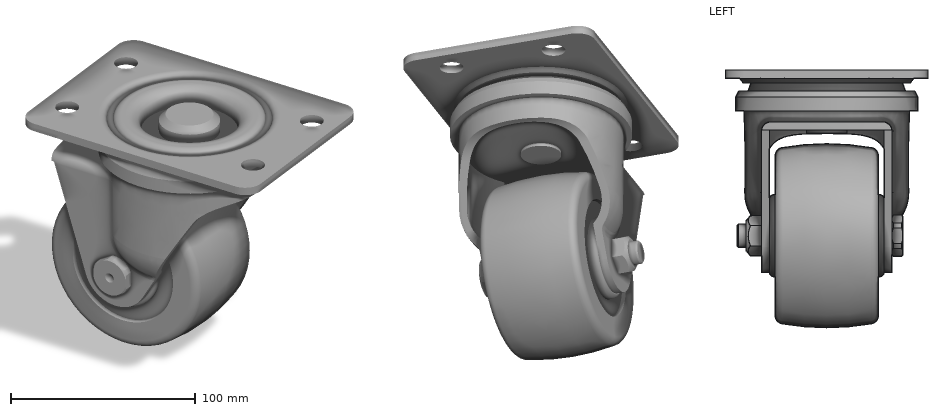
import cadquery as cq
import math


plate_length = 150.0
plate_width = 110.0
plate_thickness = 4.6
plate_corner_radius = 10.0
mount_hole_diameter = 13.0
mount_pitch_x = 120.0
mount_pitch_y = 59.0
groove_top_radius = 49.2
groove_floor_outer = 44.8
groove_floor_inner = 41.6
groove_depth = 2.7
groove_bottom_z = -7.1
groove_underside_radius = 45.4
groove_underside_top_radius = 47.2
bead_outer_radius = 37.2
bead_inner_radius = 34.6
lip_radius = 26.4

crown_top_z = -10.0
neck_bottom_z = -11.4
neck_top_radius = 41.2
neck_bottom_radius = 42.8
neck_inner_radius = 39.0
ring_radius = 49.5
ring_bottom_z = -22.2
ring_chamfer_width = 1.7
ring_chamfer_height = 3.2
kingpin_radius = 16.7
kingpin_chamfer = 3.7
kingpin_tail_radius = 11.0
kingpin_tail_z = -34.2

axle_x = -25.0
axle_z = -90.0

wall = 4.3
leg_inner_y = 31.1
leg_outer_y = leg_inner_y + wall
leg_end_radius = 20.0
tail_top_z = -28.2
tail_bottom_z = tail_top_z - wall
tail_end_x = -70.5
tail_bow = 4.0
tail_edge_radius = 5.0
bulge_radius = 45.0
bulge_draft = 0.4
bulge_round_radius = 23.5
bulge_round_z = -66.5
blend_radius = 4.5
rear_slant = 18.0
front_slant = 30.5
heel_z = -34.6
heel_radius = 19.0
block_front_x = 20.0

wheel_radius = 50.0
wheel_half_width = 28.0
tread_half_width = 24.0
tread_edge_radius = 47.9
face_radius = 43.0
recess_radius = 32.4
recess_floor_radius = 31.8
recess_depth = 2.0
hub_radius = 22.5
hub_end_radius = 20.6

bolt_radius = 6.4
bolt_end_y = 48.6
bolt_end_chamfer = 0.8
head_flats = 20.8
head_round_radius = 11.25
head_height = 6.0
head_chamfer = 0.8
dimple_radius = 2.8
nut_flats = 19.0
nut_height = 8.5
nut_cone_height = 2.5
nut_cone_top_radius = 8.0

SIN60 = math.sin(math.radians(60))
SIN45 = math.sin(math.radians(45))


def cylinder_z(radius, bottom, top):
    return cq.Workplane("XY").workplane(offset=bottom).circle(radius).extrude(top - bottom)


def cylinder_y(radius, y_start, y_end):
    """Cylinder on the axle line."""
    plane = cq.Workplane("XZ", origin=(axle_x, y_start, axle_z))
    return plane.circle(radius).extrude(y_start - y_end)


def hexagon_y(flats, y_start, y_end):
    """Hexagonal prism on the axle line, with corners straight up and down."""
    plane = cq.Workplane("XZ", origin=(axle_x, y_start, axle_z))
    return plane.transformed(rotate=(0, 0, 90)).polygon(6, flats / SIN60).extrude(y_start - y_end)


def revolve_on_axle(profile):
    """Revolve a profile drawn as (radius, y) about the axle line."""
    return profile.close().revolve(360, (0, 0, 0), (0, 1, 0)).translate((axle_x, 0, axle_z))


def bend_radius(run, drop):
    """Radius of an arc that leaves the horizontal and falls by `drop` over `run`."""
    return (run**2 + drop**2) / (2 * drop)


def make_plate():
    rim = (
        cq.Workplane("XY")
        .rect(plate_length, plate_width)
        .extrude(-plate_thickness)
        .edges("|Z")
        .fillet(plate_corner_radius)
        .cut(cylinder_z(groove_top_radius, -plate_thickness, 0))
    )
    outer_bend = bend_radius(groove_top_radius - groove_floor_outer, groove_depth)
    inner_bend = bend_radius(groove_floor_inner - bead_outer_radius, groove_depth)
    bowl_radius = bead_inner_radius - lip_radius
    under_bowl_radius = bowl_radius - plate_thickness
    lip_outer_radius = lip_radius + plate_thickness
    dish = (
        cq.Workplane("XZ")
        .moveTo(groove_top_radius, -plate_thickness)
        .lineTo(groove_top_radius, 0)
        .radiusArc((groove_floor_outer, -groove_depth), -outer_bend)
        .lineTo(groove_floor_inner, -groove_depth)
        .radiusArc((bead_outer_radius, 0), -inner_bend)
        .lineTo(bead_inner_radius, 0)
        .radiusArc((lip_radius, -bowl_radius), -bowl_radius)
        .lineTo(lip_radius, crown_top_z)
        .lineTo(lip_outer_radius, crown_top_z)
        .lineTo(lip_outer_radius, -bowl_radius)
        .radiusArc((bead_inner_radius, -plate_thickness), under_bowl_radius)
        .lineTo(bead_outer_radius, -plate_thickness)
        .lineTo(neck_inner_radius, groove_bottom_z)
        .lineTo(groove_underside_radius, groove_bottom_z)
        .lineTo(groove_underside_top_radius, -plate_thickness)
        .close()
        .revolve(360, (0, 0, 0), (0, 1, 0))
    )
    holes = (
        cq.Workplane("XY")
        .rect(mount_pitch_x, mount_pitch_y, forConstruction=True)
        .vertices()
        .circle(mount_hole_diameter / 2)
        .extrude(-plate_thickness)
    )
    return rim.union(dish).cut(holes)


def round_body(radius, bottom_rounding, top):
    """Upright, slightly tapered round body with a rounded bottom."""
    bottom_radius = radius - bulge_draft
    half_body = (
        cq.Workplane("XZ")
        .moveTo(0, top)
        .lineTo(radius, top)
        .lineTo(bottom_radius, bulge_round_z)
        .radiusArc((bottom_radius - bottom_rounding, bulge_round_z - bottom_rounding), bottom_rounding)
        .lineTo(0, bulge_round_z - bottom_rounding)
        .close()
    )
    return half_body.revolve(360, (0, 0, 0), (0, 1, 0))


def leg_outline():
    """Side outline of the legs, tangent to the round end about the axle."""
    rear = math.radians(rear_slant)
    front = math.radians(front_slant)
    rear_tangent_x = axle_x - leg_end_radius * math.cos(rear)
    rear_tangent_z = axle_z - leg_end_radius * math.sin(rear)
    front_tangent_x = axle_x + leg_end_radius * math.cos(front)
    front_tangent_z = axle_z - leg_end_radius * math.sin(front)
    rear_top_x = rear_tangent_x - (tail_bottom_z - rear_tangent_z) * math.tan(rear)
    heel_end_z = heel_z - heel_radius * (1 - math.sin(front))
    heel_end_x = front_tangent_x + (heel_end_z - front_tangent_z) * math.tan(front)
    heel_start_x = heel_end_x + heel_radius * math.cos(front)
    return (
        cq.Workplane("XZ", origin=(0, bulge_radius, 0))
        .moveTo(tail_end_x, ring_bottom_z)
        .lineTo(bulge_radius, ring_bottom_z)
        .lineTo(bulge_radius, heel_z)
        .lineTo(heel_start_x, heel_z)
        .radiusArc((heel_end_x, heel_end_z), -heel_radius)
        .lineTo(front_tangent_x, front_tangent_z)
        .threePointArc((axle_x, axle_z - leg_end_radius), (rear_tangent_x, rear_tangent_z))
        .lineTo(rear_top_x, tail_bottom_z)
        .lineTo(tail_end_x, tail_bottom_z)
        .close()
        .extrude(2 * bulge_radius)
    )


def tail_plan():
    """Plan outline of the fork with the bowed end of the tail."""
    corner_x = tail_end_x + tail_bow
    return (
        cq.Workplane("XY")
        .moveTo(corner_x, leg_outer_y)
        .threePointArc((tail_end_x, 0), (corner_x, -leg_outer_y))
        .lineTo(corner_x, -bulge_radius)
        .lineTo(bulge_radius, -bulge_radius)
        .lineTo(bulge_radius, bulge_radius)
        .lineTo(corner_x, bulge_radius)
        .close()
        .extrude(axle_z - leg_end_radius)
    )


def make_legs():
    blend_box_low = (-bulge_radius, -leg_outer_y - 1, axle_z)
    blend_box_high = (0, leg_outer_y + 1, tail_top_z + 1)
    block_bottom = axle_z - 2 * leg_end_radius
    block_length = block_front_x - tail_end_x
    block = (
        cq.Workplane("XY", origin=(tail_end_x + block_length / 2, 0, tail_top_z))
        .rect(block_length, 2 * leg_outer_y)
        .extrude(block_bottom - tail_top_z)
        .edges("|X and >Z")
        .fillet(tail_edge_radius)
    )
    body = round_body(bulge_radius, bulge_round_radius, ring_bottom_z)
    shell = (
        body.union(block)
        .intersect(leg_outline())
        .edges(cq.selectors.BoxSelector(blend_box_low, blend_box_high))
        .fillet(blend_radius)
    )
    slot = (
        cq.Workplane("XY", origin=(tail_end_x + block_length / 2, 0, tail_bottom_z))
        .rect(block_length, 2 * leg_inner_y)
        .extrude(block_bottom - tail_bottom_z)
    )
    hollow = round_body(bulge_radius - wall, bulge_round_radius - wall, tail_bottom_z)
    return shell.intersect(tail_plan()).cut(slot).cut(hollow)


def make_crown():
    half_crown = (
        cq.Workplane("XZ")
        .moveTo(0, kingpin_tail_z)
        .lineTo(0, 0)
        .lineTo(kingpin_radius - kingpin_chamfer, 0)
        .lineTo(kingpin_radius, -kingpin_chamfer)
        .lineTo(kingpin_radius, crown_top_z)
        .lineTo(neck_inner_radius, crown_top_z)
        .lineTo(neck_inner_radius, groove_bottom_z)
        .lineTo(neck_top_radius, groove_bottom_z)
        .lineTo(neck_bottom_radius, neck_bottom_z)
        .lineTo(ring_radius - ring_chamfer_width, neck_bottom_z)
        .lineTo(ring_radius, neck_bottom_z - ring_chamfer_height)
        .lineTo(ring_radius, ring_bottom_z)
        .lineTo(kingpin_tail_radius, ring_bottom_z)
        .lineTo(kingpin_tail_radius, kingpin_tail_z)
        .close()
    )
    return half_crown.revolve(360, (0, 0, 0), (0, 1, 0))


def make_fork():
    bolt_hole = cylinder_y(bolt_radius, -leg_outer_y, leg_outer_y)
    head_seat = cylinder_y(head_round_radius, -leg_outer_y - head_height, -leg_outer_y)
    return make_legs().union(make_crown()).cut(bolt_hole).cut(head_seat)


def make_wheel():
    corner_middle = (
        face_radius + (tread_edge_radius - face_radius) * SIN45,
        tread_half_width + (wheel_half_width - tread_half_width) * SIN45,
    )
    hub_bend = bend_radius(leg_inner_y - wheel_half_width, hub_radius - hub_end_radius)
    recess_y = wheel_half_width - recess_depth
    return revolve_on_axle(
        cq.Workplane("XY")
        .moveTo(bolt_radius, -leg_inner_y)
        .lineTo(hub_end_radius, -leg_inner_y)
        .radiusArc((hub_radius, -wheel_half_width), -hub_bend)
        .lineTo(hub_radius, -recess_y)
        .lineTo(recess_floor_radius, -recess_y)
        .lineTo(recess_radius, -wheel_half_width)
        .lineTo(face_radius, -wheel_half_width)
        .threePointArc((corner_middle[0], -corner_middle[1]), (tread_edge_radius, -tread_half_width))
        .threePointArc((wheel_radius, 0), (tread_edge_radius, tread_half_width))
        .threePointArc(corner_middle, (face_radius, wheel_half_width))
        .lineTo(recess_radius, wheel_half_width)
        .lineTo(recess_floor_radius, recess_y)
        .lineTo(hub_radius, recess_y)
        .lineTo(hub_radius, wheel_half_width)
        .radiusArc((hub_end_radius, leg_inner_y), -hub_bend)
        .lineTo(bolt_radius, leg_inner_y)
    )


def make_bolt():
    head_y = -leg_outer_y - head_height
    head_blank = cylinder_y(head_round_radius, head_y, -leg_outer_y).edges().chamfer(head_chamfer)
    head = hexagon_y(head_flats, head_y, -leg_outer_y).intersect(head_blank)
    shank = cylinder_y(bolt_radius, -leg_outer_y, bolt_end_y).faces(">Y").chamfer(bolt_end_chamfer)
    dimple = cq.Workplane(
        cq.Solid.makeCone(
            dimple_radius, 0, dimple_radius, cq.Vector(axle_x, head_y, axle_z), cq.Vector(0, 1, 0)
        )
    )
    return head.union(shank).cut(dimple)


def make_nut():
    end_y = leg_outer_y + nut_height
    corner_radius = nut_flats / SIN60 / 2
    blank = revolve_on_axle(
        cq.Workplane("XY")
        .moveTo(bolt_radius, leg_outer_y)
        .lineTo(corner_radius, leg_outer_y)
        .lineTo(corner_radius, end_y - nut_cone_height)
        .lineTo(nut_cone_top_radius, end_y)
        .lineTo(bolt_radius, end_y)
    )
    return blank.intersect(hexagon_y(nut_flats, leg_outer_y, end_y))


plate = make_plate()
fork = make_fork()
wheel = make_wheel()
bolt = make_bolt()
nut = make_nut()

result = cq.Compound.makeCompound([plate.val(), fork.val(), wheel.val(), bolt.val(), nut.val()])